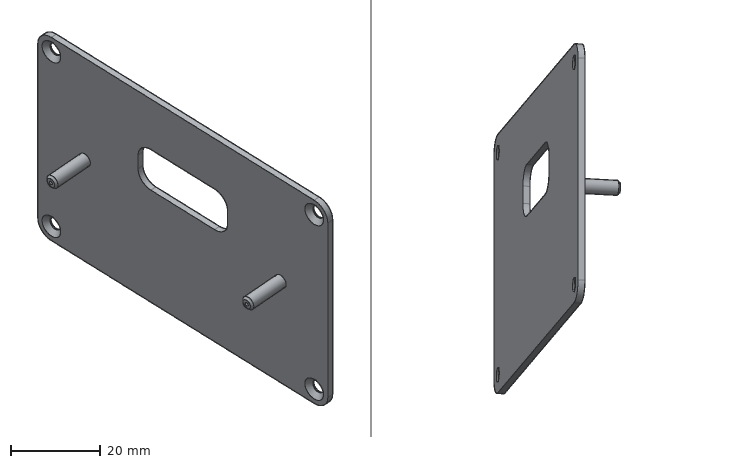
import cadquery as cq

plate_width = 90.0
plate_height = 60.0
plate_thickness = 1.6
corner_radius = 4.2

screw_inset = corner_radius
screw_hole_diameter = 3.2
countersink_diameter = 5.8
countersink_angle = 90.0

window_width = 27.7
window_height = 12.0
window_radius = 4.0
window_center_z = 9.1

overall_depth = 12.7
pin_length = overall_depth - plate_thickness
pin_spacing = 60.75
pin_diameter = 3.4
pin_chamfer = 0.5
pin_bore_diameter = 0.9
pin_bore_depth = 1.8


def make_plate():
    """Rounded plate with a window and four holes countersunk from the front."""
    plate = (
        cq.Workplane("XZ")
        .rect(plate_width, plate_height)
        .extrude(-plate_thickness)
        .edges("|Y")
        .fillet(corner_radius)
    )
    window = (
        cq.Workplane("XZ")
        .center(0, window_center_z)
        .rect(window_width, window_height)
        .extrude(-plate_thickness)
        .edges("|Y")
        .fillet(window_radius)
    )
    return (
        plate.cut(window)
        .faces("<Y")
        .workplane(origin=(0, 0, 0))
        .rect(plate_width - 2 * screw_inset, plate_height - 2 * screw_inset, forConstruction=True)
        .vertices()
        .cskHole(screw_hole_diameter, countersink_diameter, countersink_angle)
    )


def make_pin(center_x):
    """Pin on the front face with a chamfered free end and a small blind bore."""
    return (
        cq.Workplane("XZ")
        .center(center_x, 0)
        .circle(pin_diameter / 2)
        .extrude(pin_length)
        .faces("<Y")
        .chamfer(pin_chamfer)
        .faces("<Y")
        .workplane(centerOption="CenterOfMass")
        .hole(pin_bore_diameter, pin_bore_depth)
    )


plate = make_plate()
pins = [make_pin(side * pin_spacing / 2) for side in (-1, 1)]

result = cq.Compound.makeCompound([plate.val(), *[pin.val() for pin in pins]])